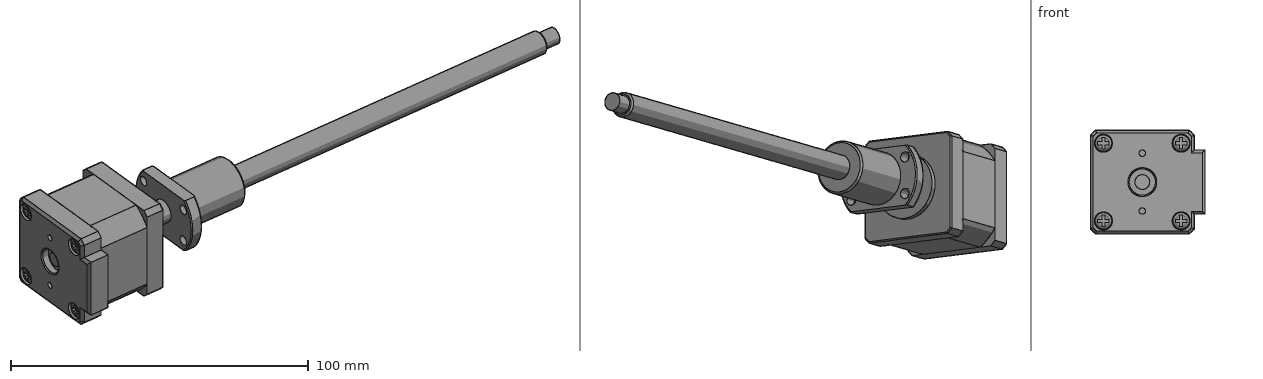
import cadquery as cq

TOTAL_LENGTH = 215.5

MOTOR_WIDTH = 35.0
MOTOR_LENGTH = 35.0
FLANGE_THICKNESS = 7.1
COVER_THICKNESS = 8.2
STATOR_LENGTH = MOTOR_LENGTH - FLANGE_THICKNESS - COVER_THICKNESS
FLANGE_START = MOTOR_LENGTH - FLANGE_THICKNESS
STATOR_CORNER_RADIUS = 21.0
END_CORNER_RADIUS = 23.5
FLANGE_CHAMFER = 0.5
COVER_CHAMFER = 0.97
BOSS_DIAMETER = 22.0
BOSS_HEIGHT = 2.0

CONNECTOR_REACH = 21.1
CONNECTOR_HEIGHT = 21.5

BORE_DIAMETER = 8.8
BORE_DEPTH = 2.8
BORE_CHAMFER = 0.5
SMALL_HOLE_DIAMETER = 2.2
SMALL_HOLE_DEPTH = 3.2
SMALL_HOLE_OFFSET = 9.7

SCREW_PITCH = 26.0
HEAD_DIAMETER = 5.5
HEAD_HEIGHT = 2.2
HEAD_ROUND = 0.9
HEAD_SINK = 0.5
SEAT_DIAMETER = 6.0
SEAT_DEPTH = HEAD_HEIGHT + HEAD_SINK
CROSS_LENGTH = 3.9
CROSS_WIDTH = 1.0
CROSS_DEPTH = 1.0

SHAFT_DIAMETER = 8.5
SHAFT_CHAMFER = 0.6
TIP_DIAMETER = 6.0
TIP_LENGTH = 6.0
TIP_START = TOTAL_LENGTH - TIP_LENGTH
TAIL_DIAMETER = 5.0
TAIL_START = 2.0

NUT_START = 48.5
NUT_LENGTH = 28.2
NUT_DIAMETER = 18.1
NUT_CHAMFER = 0.6
NUT_FLANGE_THICKNESS = 4.5
NUT_FLANGE_DIAMETER = 30.8
NUT_FLANGE_HEIGHT = 20.5
NUT_FLANGE_CHAMFER = 0.5
NUT_HOLE_DIAMETER = 3.5
NUT_HOLE_SPACING_X = 21.5
NUT_HOLE_SPACING_Z = 12.5


def plane_at(y):
    """Sketch plane at the given Y: local x is +X and local y is +Z. Extrude by -length to go toward +Y."""
    return cq.Workplane("XZ", origin=(0, y, 0))


def cylinder(diameter, start, length):
    """Cylinder on the Y axis from start to start + length."""
    return plane_at(start).circle(diameter / 2).extrude(-length)


def turned_square(corner_radius, start, length):
    """Square motor block whose corners are turned to a circle about the Y axis."""
    block = plane_at(start).rect(MOTOR_WIDTH, MOTOR_WIDTH).extrude(-length)
    return block.intersect(cylinder(2 * corner_radius, start, length))


def make_front_flange():
    flange = turned_square(END_CORNER_RADIUS, FLANGE_START, FLANGE_THICKNESS)
    flange = flange.faces(">Y").chamfer(FLANGE_CHAMFER)
    boss = cylinder(BOSS_DIAMETER, MOTOR_LENGTH, BOSS_HEIGHT)
    shaft_hole = cylinder(SHAFT_DIAMETER, FLANGE_START, FLANGE_THICKNESS + BOSS_HEIGHT)
    return flange.union(boss).cut(shaft_hole)


def make_stator():
    stator = turned_square(STATOR_CORNER_RADIUS, COVER_THICKNESS, STATOR_LENGTH)
    return stator.cut(cylinder(SHAFT_DIAMETER, COVER_THICKNESS, STATOR_LENGTH))


def make_cover_blank():
    """Rear cover and connector block in one piece, chamfered around the rear face."""
    cover = turned_square(END_CORNER_RADIUS, 0, COVER_THICKNESS)
    connector = (
        plane_at(0)
        .center(CONNECTOR_REACH / 2, 0)
        .rect(CONNECTOR_REACH, CONNECTOR_HEIGHT)
        .extrude(-COVER_THICKNESS)
    )
    return cover.union(connector).faces("<Y").chamfer(COVER_CHAMFER)


def make_rear_cover():
    seats = (
        plane_at(0)
        .rect(SCREW_PITCH, SCREW_PITCH, forConstruction=True)
        .vertices()
        .circle(SEAT_DIAMETER / 2)
        .extrude(-SEAT_DEPTH)
    )
    small_holes = (
        plane_at(0)
        .pushPoints([(0, SMALL_HOLE_OFFSET), (0, -SMALL_HOLE_OFFSET)])
        .circle(SMALL_HOLE_DIAMETER / 2)
        .extrude(-SMALL_HOLE_DEPTH)
    )
    bore = cylinder(BORE_DIAMETER, 0, BORE_DEPTH)
    bore_edge = cq.selectors.RadiusNthSelector(0)
    cover = make_cover_blank().cut(bore)
    cover = cover.faces("<Y").edges("%CIRCLE").edges(bore_edge).chamfer(BORE_CHAMFER)
    tail_hole = cylinder(TAIL_DIAMETER, 0, COVER_THICKNESS)
    return cover.cut(tail_hole).cut(seats).cut(small_holes)


def make_motor_screw(x, z):
    """Screw head with its centre at (x, z), resting on the bottom of its seat."""
    plane = plane_at(HEAD_SINK).center(x, z)
    head = plane.circle(HEAD_DIAMETER / 2).extrude(-HEAD_HEIGHT)
    head = head.faces("<Y").edges().fillet(HEAD_ROUND)
    slot_x = plane.rect(CROSS_LENGTH, CROSS_WIDTH).extrude(-CROSS_DEPTH)
    slot_z = plane.rect(CROSS_WIDTH, CROSS_LENGTH).extrude(-CROSS_DEPTH)
    return head.cut(slot_x).cut(slot_z)


def make_shaft():
    """Main shaft with its thinner tail and tip."""
    shaft = cylinder(SHAFT_DIAMETER, COVER_THICKNESS, TIP_START - COVER_THICKNESS)
    shaft = shaft.faces(">Y").chamfer(SHAFT_CHAMFER)
    tip = cylinder(TIP_DIAMETER, TIP_START, TIP_LENGTH)
    tail = cylinder(TAIL_DIAMETER, TAIL_START, COVER_THICKNESS - TAIL_START)
    return shaft.union(tip).union(tail)


def make_nut_flange():
    """Round flange with flat top and bottom and four screw holes."""
    disc = cylinder(NUT_FLANGE_DIAMETER, NUT_START, NUT_FLANGE_THICKNESS)
    disc = disc.faces("<Y or >Y").edges().chamfer(NUT_FLANGE_CHAMFER)
    plane = plane_at(NUT_START)
    between_flats = plane.rect(NUT_FLANGE_DIAMETER, NUT_FLANGE_HEIGHT).extrude(-NUT_FLANGE_THICKNESS)
    holes = (
        plane.rect(NUT_HOLE_SPACING_X, NUT_HOLE_SPACING_Z, forConstruction=True)
        .vertices()
        .circle(NUT_HOLE_DIAMETER / 2)
        .extrude(-NUT_FLANGE_THICKNESS)
    )
    return disc.intersect(between_flats).cut(holes)


def make_ball_screw():
    """Shaft and nut as one solid."""
    barrel = cylinder(NUT_DIAMETER, NUT_START, NUT_LENGTH).faces(">Y").chamfer(NUT_CHAMFER)
    return make_shaft().union(barrel).union(make_nut_flange())


front_flange = make_front_flange()
stator = make_stator()
rear_cover = make_rear_cover()
ball_screw = make_ball_screw()

screw_offsets = (-SCREW_PITCH / 2, SCREW_PITCH / 2)
motor_screws = []
for screw_x in screw_offsets:
    for screw_z in screw_offsets:
        motor_screws.append(make_motor_screw(screw_x, screw_z).val())

result = cq.Compound.makeCompound(
    [front_flange.val(), stator.val(), rear_cover.val(), ball_screw.val(), *motor_screws]
)